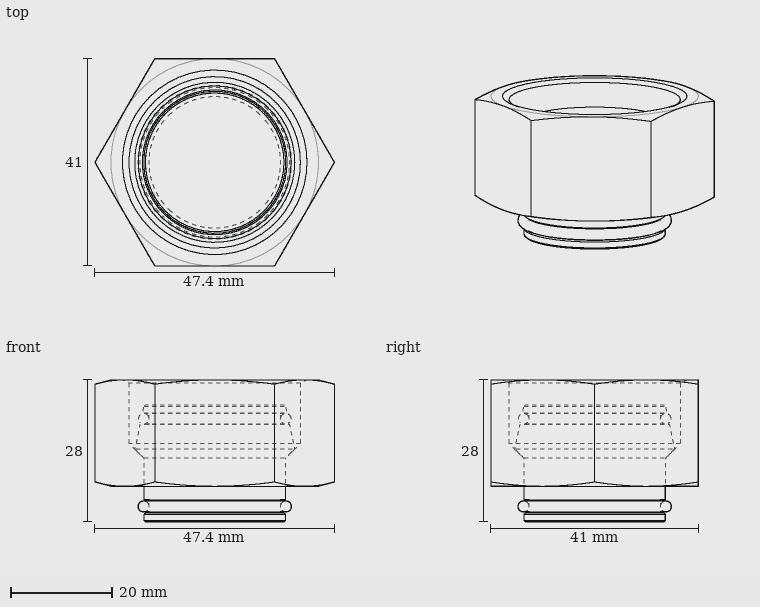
import cadquery as cq
import math

total_height = 28.03
nut_bottom = 7.0
nut_height = total_height - nut_bottom

hex_corners = 47.35
hex_flats = hex_corners * math.cos(math.pi / 6)
hex_chamfer_angle = math.radians(15)
bore_radius = 33.85 / 2
mouth_radius = 18.23
mouth_depth = 0.65

shank_radius = 28.0 / 2
cone_radius = 31.6 / 2
cone_half_angle = math.radians(12)
plug_top = 23.05
edge_chamfer = 0.3

seat_bottom = 12.55
seat_top = seat_bottom + bore_radius - shank_radius
cone_base = seat_bottom + cone_radius - shank_radius

groove_radius = 26.0 / 2
shank_ring_section = 2.2
shank_groove_bottom = 1.75
shank_groove_top = 4.3
cone_ring_section = 2.1
cone_groove_bottom = 19.2
cone_groove_top = 21.5


def cone_radius_at(height):
    """Radius of the plug's sealing cone at a height."""
    return cone_radius - (height - cone_base) * math.tan(cone_half_angle)


def revolve_profile(points):
    """Turn a closed (radius, height) outline around the Z axis."""
    return cq.Workplane("XZ").polyline(points).close().revolve(360, (0, 0, 0), (0, 1, 0))


def make_nut():
    """Hexagon nut with chamfered corners, a wide bore, a conical seat and a shank hole."""
    hexagon = cq.Workplane("XY").workplane(offset=nut_bottom).polygon(6, hex_corners).extrude(nut_height)
    flat_radius = hex_flats / 2
    corner_radius = hex_corners / 2
    corner_drop = (corner_radius - flat_radius) * math.tan(hex_chamfer_angle)
    envelope = revolve_profile([
        (0, nut_bottom),
        (flat_radius, nut_bottom),
        (corner_radius, nut_bottom + corner_drop),
        (corner_radius, total_height - corner_drop),
        (flat_radius, total_height),
        (0, total_height),
    ])
    cavity = revolve_profile([
        (0, nut_bottom),
        (shank_radius, nut_bottom),
        (shank_radius, seat_bottom),
        (bore_radius, seat_top),
        (bore_radius, total_height - mouth_depth),
        (mouth_radius, total_height),
        (0, total_height),
    ])
    return hexagon.intersect(envelope).cut(cavity)


def make_plug():
    """Solid plug: grooved shank below the seat, grooved sealing cone above it."""
    top_radius = cone_radius_at(plug_top)
    return revolve_profile([
        (0, 0),
        (shank_radius - edge_chamfer, 0),
        (shank_radius, edge_chamfer),
        (shank_radius, shank_groove_bottom - edge_chamfer),
        (shank_radius - edge_chamfer, shank_groove_bottom),
        (groove_radius, shank_groove_bottom),
        (groove_radius, shank_groove_top),
        (shank_radius, shank_groove_top),
        (shank_radius, seat_bottom),
        (cone_radius, cone_base),
        (cone_radius_at(cone_groove_bottom), cone_groove_bottom),
        (groove_radius, cone_groove_bottom),
        (groove_radius, cone_groove_top),
        (cone_radius_at(cone_groove_top), cone_groove_top),
        (cone_radius_at(plug_top - edge_chamfer), plug_top - edge_chamfer),
        (top_radius - edge_chamfer, plug_top),
        (0, plug_top),
    ])


def make_o_ring(section, height):
    """O-ring seated on a groove floor, centred at a height."""
    centre_radius = groove_radius + section / 2
    return (
        cq.Workplane("XZ")
        .center(centre_radius, height)
        .circle(section / 2)
        .revolve(360, (-centre_radius, 0, 0), (-centre_radius, 1, 0))
    )


nut = make_nut()
plug = make_plug()
ring_places = [
    (shank_ring_section, (shank_groove_bottom + shank_groove_top) / 2),
    (cone_ring_section, (cone_groove_bottom + cone_groove_top) / 2),
]
o_rings = [make_o_ring(section, height).val() for section, height in ring_places]

result = cq.Compound.makeCompound([nut.val(), plug.val(), *o_rings])